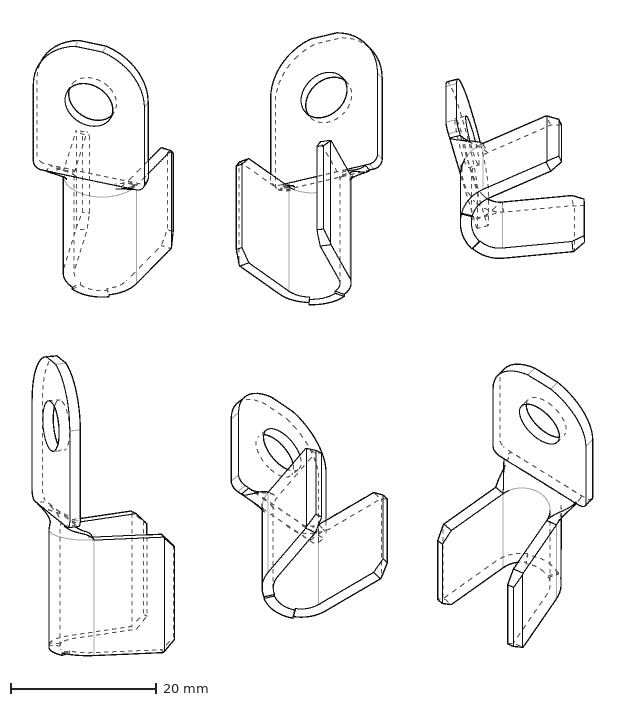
import cadquery as cq
import math

thickness = 1.55
total_height = 41.55

tongue_width = 16.3
tongue_bottom = 19.5
tongue_corner_radius = 1.25
tongue_round_radius = tongue_width / 2
tongue_round_height = 33.65
hole_diameter = 6.98
hole_height = 32.15

barrel_radius = 5.4
barrel_bottom = 0.35
barrel_top = 16.85
wing_tilt = 9.7
depth = 15.85
wing_corner_chamfer = 1.65
tip_bevel_length = 1.5
tip_bevel_depth = 0.6

tab_half_angle = 30.0

neck_half_width = 6.25
neck_bulge = 0.25
neck_bow = 0.05
neck_sections = 5

inner_radius = barrel_radius - thickness
trough_half_angle = 90.0 - wing_tilt
lean = math.radians(wing_tilt)
wing_start_height = barrel_radius - inner_radius * math.sin(lean)
wing_length = (depth - wing_start_height) / math.cos(lean)


def trough_point(radius, angle):
    """Point on the trough, with the angle measured from its lowest line."""
    turn = math.radians(angle)
    return (radius * math.sin(turn), barrel_radius - radius * math.cos(turn))


def trough_wall(half_angle, bottom, top):
    """Part of the trough wall within half_angle on each side of its lowest line."""
    return (
        cq.Workplane("XY", origin=(0, 0, bottom))
        .moveTo(*trough_point(barrel_radius, -half_angle))
        .threePointArc((0, 0), trough_point(barrel_radius, half_angle))
        .lineTo(*trough_point(inner_radius, half_angle))
        .threePointArc((0, thickness), trough_point(inner_radius, -half_angle))
        .close()
        .extrude(top - bottom)
    )


def make_tongue():
    side = tongue_width / 2
    top_half_width = math.sqrt(tongue_round_radius**2 - (total_height - tongue_round_height) ** 2)
    round_middle = tongue_round_radius * math.sqrt(0.5)
    plate = (
        cq.Workplane("XZ")
        .moveTo(-side, tongue_bottom)
        .lineTo(side, tongue_bottom)
        .lineTo(side, tongue_round_height)
        .threePointArc((round_middle, tongue_round_height + round_middle), (top_half_width, total_height))
        .lineTo(-top_half_width, total_height)
        .threePointArc((-round_middle, tongue_round_height + round_middle), (-side, tongue_round_height))
        .close()
        .extrude(-thickness)
    )
    plate = plate.edges("|Y and <Z").fillet(tongue_corner_radius)
    hole = cq.Workplane("XZ").center(0, hole_height).circle(hole_diameter / 2).extrude(-thickness)
    return plate.cut(hole)


def make_wing():
    """Wing on the +X side, built flat from the trough edge and then leaned outward."""
    blade = (
        cq.Workplane("XY", origin=(0, 0, barrel_bottom))
        .polyline(
            [
                (inner_radius, 0),
                (barrel_radius, 0),
                (barrel_radius, wing_length - tip_bevel_length),
                (barrel_radius - tip_bevel_depth, wing_length),
                (inner_radius, wing_length),
            ]
        )
        .close()
        .extrude(barrel_top - barrel_bottom)
    )
    trim = wing_corner_chamfer
    outline = (
        cq.Workplane("YZ")
        .polyline(
            [
                (0, barrel_bottom),
                (wing_length - trim, barrel_bottom),
                (wing_length, barrel_bottom + trim),
                (wing_length, barrel_top - trim),
                (wing_length - trim, barrel_top),
                (0, barrel_top),
            ]
        )
        .close()
        .extrude(barrel_radius)
    )
    wing = blade.intersect(outline)
    return wing.rotate((0, 0, 0), (0, 0, 1), -wing_tilt).translate((0, barrel_radius, 0))


def make_neck():
    """Loft from the trough section (blend 0) to a flat strip (blend 1)."""
    trough_outer = trough_point(barrel_radius, trough_half_angle)
    trough_inner = trough_point(inner_radius, trough_half_angle)

    def blended(start, end, blend):
        return tuple(a + (b - a) * blend for a, b in zip(start, end))

    wires = []
    for index in range(neck_sections):
        rise = index / (neck_sections - 1)
        blend = rise**2 * (3 - 2 * rise)
        height = barrel_top + (tongue_bottom - barrel_top) * rise
        bulge = neck_bulge * 4 * rise * (1 - rise)
        outer_x, outer_y = blended(trough_outer, (neck_half_width, neck_bow), blend)
        inner_x, inner_y = blended(trough_inner, (neck_half_width, thickness), blend)
        section = (
            cq.Workplane("XY", origin=(0, 0, height))
            .moveTo(-outer_x, outer_y)
            .threePointArc((0, bulge), (outer_x, outer_y))
            .lineTo(inner_x, inner_y)
            .threePointArc((0, thickness - neck_bow * blend + bulge), (-inner_x, inner_y))
            .close()
        )
        wires.append(section.val())
    return cq.Workplane(cq.Solid.makeLoft(wires))


wing = make_wing()
result = (
    trough_wall(trough_half_angle, barrel_bottom, barrel_top)
    .union(trough_wall(tab_half_angle, 0, barrel_bottom))
    .union(wing)
    .union(wing.mirror("YZ"))
    .union(make_neck())
    .union(make_tongue())
)